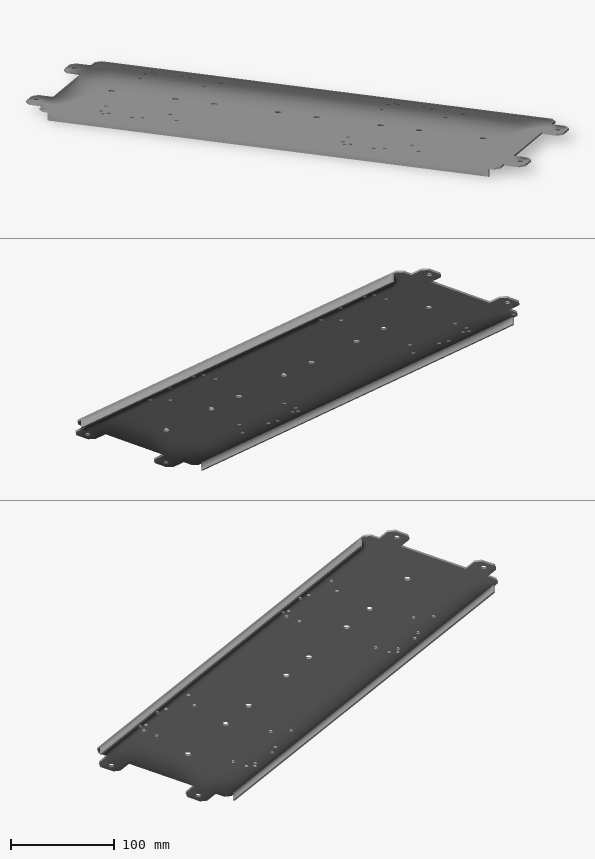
import cadquery as cq

length_over_tabs = 516.0
body_length = 476.0
body_width = 155.0
overall_height = 10.0
sheet_thickness = 2.0
flange_thickness = 2.0
flange_length = 456.0
corner_chamfer = 5.0

tab_width = 25.0
tab_center_y = 50.0
tab_hole_diameter = 5.5
tab_hole_x = 250.0

center_hole_diameter = 6.5
center_hole_spacing = 66.0
center_pair_pitch = 106.0
center_pair_count = 4

small_hole_diameter = 4.2
group_pitch = 250.0
group_center_x = -22.0
group_holes = [
    (-33.0, 44.0),
    (33.0, 44.0),
    (-32.5, 59.0),
    (45.5, 59.0),
    (-28.0, 66.0),
    (2.0, 66.0),
    (-23.0, 63.0),
    (12.0, 63.0),
]

corner_hole_inset = 5.0


def make_plate():
    """Flat sheet with bevelled corners and four bevelled end tabs, top face at Z = 0."""
    plate = cq.Workplane("XY").box(body_length, body_width, sheet_thickness)
    plate = plate.edges("|Z").chamfer(corner_chamfer)
    for tab_y in (-tab_center_y, tab_center_y):
        tab_strip = cq.Workplane("XY").box(length_over_tabs, tab_width, sheet_thickness)
        tab_strip = tab_strip.edges("|Z").chamfer(corner_chamfer)
        plate = plate.union(tab_strip.translate((0, tab_y, 0)))
    return plate.translate((0, 0, -sheet_thickness / 2))


def make_flange(side):
    """Downturned flange along one long edge; side is -1 or 1 along Y."""
    flange = cq.Workplane("XY").box(flange_length, flange_thickness, overall_height)
    flange_y = side * (body_width - flange_thickness) / 2
    return flange.translate((0, flange_y, -overall_height / 2))


def make_holes(points, diameter):
    """Cylinders through the sheet at the given points."""
    holes = cq.Workplane("XY").pushPoints(points).circle(diameter / 2)
    return holes.extrude(-sheet_thickness)


tab_hole_points = [
    (x, y)
    for x in (-tab_hole_x, tab_hole_x)
    for y in (-tab_center_y, tab_center_y)
]

center_hole_points = []
for index in range(center_pair_count):
    pair_x = (index - (center_pair_count - 1) / 2) * center_pair_pitch
    center_hole_points.append((pair_x - center_hole_spacing / 2, 0))
    center_hole_points.append((pair_x + center_hole_spacing / 2, 0))

small_hole_points = [
    (group_center_x + group_side * group_pitch / 2 + x, mirror * y)
    for group_side in (-1, 1)
    for mirror in (-1, 1)
    for x, y in group_holes
]

corner_hole_point = (
    corner_hole_inset - body_length / 2,
    corner_hole_inset - body_width / 2,
)
small_hole_points.append(corner_hole_point)

result = make_plate()
for flange_side in (-1, 1):
    result = result.union(make_flange(flange_side))
result = result.cut(make_holes(tab_hole_points, tab_hole_diameter))
result = result.cut(make_holes(center_hole_points, center_hole_diameter))
result = result.cut(make_holes(small_hole_points, small_hole_diameter))